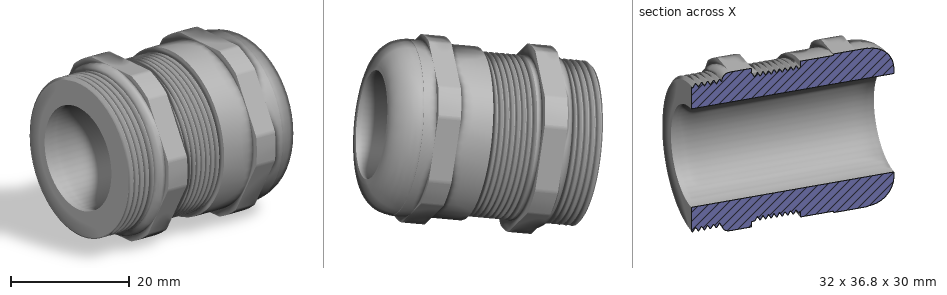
import cadquery as cq
import math


entry_thread_length = 5.5
shoulder_length = 1.5
hexagon_length = 4.0
nut_thread_length = 8.75
collar_length = 6.0
cap_band_length = 2.25
dome_length = 4.75

bore_diameter = 18.5
thread_diameter = 28.0
collar_diameter = 29.5
cap_diameter = 30.0
dome_diameter = 29.8
hexagon_across_flats = 30.0
hexagon_corner_diameter = 32.0

shoulder_fillet = 1.49
dome_fillet = 4.745
hexagon_edge_fillet = 1.6

groove_depth = 0.75
crest_gap = 0.02
groove_overshoot = 0.05
entry_pitch = 1.085
nut_pitch = 1.0
groove_start_angle = -90.0
entry_groove_height = 0.25
entry_lead_in_turns = 1
entry_turns = 7
nut_turns = 9

shoulder_start = entry_thread_length
body_hexagon_start = shoulder_start + shoulder_length
nut_thread_start = body_hexagon_start + hexagon_length
collar_start = nut_thread_start + nut_thread_length
cap_hexagon_start = collar_start + collar_length
cap_band_start = cap_hexagon_start + hexagon_length
dome_start = cap_band_start + cap_band_length
total_length = dome_start + dome_length


def cylinder(diameter, start, length):
    return cq.Workplane("XY").workplane(offset=start).circle(diameter / 2).extrude(length)


def hexagon(start):
    """Hexagon with its corners turned down to a circle and the meeting edges softened."""
    across_corners = hexagon_across_flats / math.cos(math.pi / 6)
    prism = cq.Workplane("XY").workplane(offset=start).polygon(6, across_corners).extrude(hexagon_length)
    turned = prism.intersect(cylinder(hexagon_corner_diameter, start, hexagon_length))
    return turned.edges("|Z").fillet(hexagon_edge_fillet)


def thread_groove(pitch, start, turns):
    """Right-handed V groove that cuts slightly past the crests.

    The start is the height of the groove middle at its lower end.
    """
    root_radius = thread_diameter / 2 - groove_depth
    outer_radius = thread_diameter / 2 + groove_overshoot
    half_width = (pitch - crest_gap) / 2
    profile = (
        cq.Workplane("XZ")
        .moveTo(root_radius, 0)
        .lineTo(outer_radius, half_width)
        .lineTo(outer_radius, -half_width)
        .close()
    )
    path = cq.Wire.makeHelix(pitch, pitch * turns, root_radius)
    groove = profile.sweep(cq.Workplane(path), isFrenet=True)
    return groove.rotate((0, 0, 0), (0, 0, 1), groove_start_angle).translate((0, 0, start))


def entry_thread():
    """Lower thread, its groove running out through the end face and into the shoulder."""
    blank = cylinder(thread_diameter, 0, body_hexagon_start)
    groove_start = entry_groove_height - entry_lead_in_turns * entry_pitch
    return blank.cut(thread_groove(entry_pitch, groove_start, entry_turns))


def nut_thread():
    """Middle thread, its groove starting abruptly above the hexagon and ending inside the collar."""
    blank = cylinder(thread_diameter, nut_thread_start, nut_thread_length)
    groove_start = nut_thread_start + nut_pitch / 2
    return blank.cut(thread_groove(nut_pitch, groove_start, nut_turns))


def shoulder():
    ring = cylinder(cap_diameter, shoulder_start, shoulder_length)
    return ring.faces("<Z").edges().fillet(shoulder_fillet)


def dome():
    blank = cylinder(dome_diameter, dome_start, dome_length)
    return blank.faces(">Z").edges().fillet(dome_fillet)


gland = (
    entry_thread()
    .union(shoulder())
    .union(hexagon(body_hexagon_start))
    .union(nut_thread())
    .union(cylinder(collar_diameter, collar_start, collar_length))
    .union(hexagon(cap_hexagon_start))
    .union(cylinder(cap_diameter, cap_band_start, cap_band_length))
    .union(dome())
    .cut(cylinder(bore_diameter, 0, total_length))
)

result = gland.rotate((0, 0, 0), (1, 0, 0), -90)